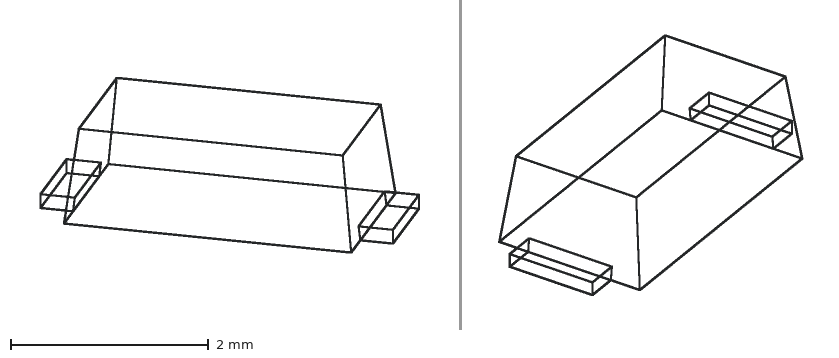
import cadquery as cq
import math

body_length = 3.015
body_width = 1.7
body_height = 1.0
draft_angle = 7.0

overall_length = 3.7
lead_width = 1.0
lead_thickness = 0.15

side_lean = body_height * math.tan(math.radians(draft_angle))
lean_at_lead_top = lead_thickness * math.tan(math.radians(draft_angle))


def make_body():
    """Tapered block standing on Z = 0."""
    return (
        cq.Workplane("XY")
        .rect(body_length, body_width)
        .workplane(offset=body_height)
        .rect(body_length - 2 * side_lean, body_width - 2 * side_lean)
        .loft(ruled=True, combine=True)
    )


def make_lead(side):
    """Lead on the +X (side = 1) or -X (side = -1) end, its inner face flush with the leaning body end."""
    tip_x = side * overall_length / 2
    root_bottom_x = side * body_length / 2
    root_top_x = side * (body_length / 2 - lean_at_lead_top)
    return (
        cq.Workplane("XZ")
        .moveTo(root_bottom_x, 0)
        .lineTo(tip_x, 0)
        .lineTo(tip_x, lead_thickness)
        .lineTo(root_top_x, lead_thickness)
        .close()
        .extrude(lead_width / 2, both=True)
    )


body = make_body()
leads = [make_lead(side) for side in (-1, 1)]

result = cq.Compound.makeCompound([body.val(), *[lead.val() for lead in leads]])